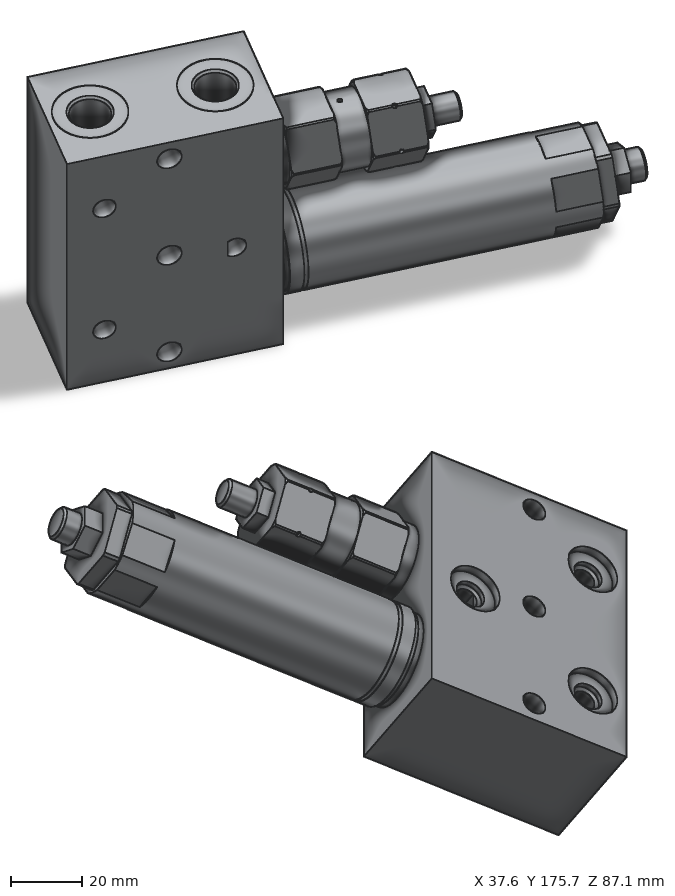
import cadquery as cq
import math

BLOCK_X = 37.6
BLOCK_Y = 63.8
BLOCK_Z = 87.1
TOTAL_Y = 175.7

MOUNT_DIAMETER = 7.2
MOUNT_Y = -33.5
MOUNT_PITCH = 37.2

SIDE_SPOTFACE_DIAMETER = 16.0
SIDE_SPOTFACE_DEPTH = 2.6
SIDE_ENTRY_DIAMETER = 9.0
SIDE_ENTRY_DEPTH = 1.5
SIDE_TAPER_LENGTH = 0.5
SIDE_BORE_DIAMETER = 6.7
INNER_PORT_Y = -14.2
INNER_SIDE_PORT_Z = -2.3
OUTER_SIDE_PORT_Y = -52.7
OUTER_SIDE_PORT_Z = 23.4
INNER_BORE_FLAT_OFFSET = 2.1

TOP_SPOTFACE_DIAMETER = 21.6
TOP_SPOTFACE_DEPTH = 0.2
TOP_PORT_DIAMETER = 12.0
TOP_PORT_CHAMFER = 0.7
TOP_PORT_DEPTH = 12.3
OUTER_TOP_PORT_Y = -51.1
DRILL_TIP_ANGLE = 118.0
PILOT_DIAMETER = 4.7
PILOT_DEPTH = 7.0
BLEED_DIAMETER = 2.1
BLEED_DEPTH = 1.8
BLEED_OFFSET = 1.0

SMALL_VALVE_Z = 15.8
SMALL_BODY_DIAMETER = 23.2
SMALL_HEX_FLATS = 23.9
SMALL_HEX_CORNERS = 27.2
SMALL_HEX_CHAMFER = 0.5
SMALL_LOWER_HEX_START = 4.2
SMALL_LOWER_HEX_END = 19.1
SMALL_UPPER_HEX_START = 28.3
SMALL_UPPER_HEX_END = 44.6
SMALL_NUT_FLATS = 13.2
SMALL_NUT_END = 48.5
SMALL_STEM_DIAMETER = 8.6
SMALL_STEM_END = 57.5
CORNER_HOLE_DIAMETER = 1.4
CORNER_HOLE_Y = 36.5
BODY_HOLE_DIAMETER = 1.4
BODY_HOLE_Y = 22.5
PIN_HOLE_DEPTH = 1.8

LARGE_VALVE_Z = -21.6
LARGE_COLLAR_DIAMETER = 28.5
LARGE_COLLAR_END = 1.8
LARGE_NECK_DIAMETER = 28.8
LARGE_NECK_END = 3.2
LARGE_BARREL_DIAMETER = 30.4
LARGE_BARREL_END = 95.5
LARGE_FLATS_START = 81.7
LARGE_FLAT_DISTANCE = 14.4
LARGE_FLAT_ANGLES = (-90, -30, 30, 90, 145.4, 214.6)
LARGE_GROOVE_START = 7.4
LARGE_GROOVE_WIDTH = 1.2
LARGE_GROOVE_DEPTH = 0.2
LARGE_CAP_FLATS = 25.5
LARGE_CAP_CORNERS = 28.8
LARGE_CAP_END = 100.5
LARGE_NUT_FLATS = 13.0
LARGE_NUT_END = 106.3
LARGE_STEM_DIAMETER = 9.8
LARGE_STEM_END = TOTAL_Y - BLOCK_Y

STEM_CHAMFER = 0.7

ALONG_X = cq.Vector(1, 0, 0)
ALONG_Y = cq.Vector(0, 1, 0)
DOWN = cq.Vector(0, 0, -1)


def rod(diameter, start, direction, length):
    """Cylinder that runs from a start point along a direction."""
    return cq.Workplane(cq.Solid.makeCylinder(diameter / 2, length, cq.Vector(*start), direction))


def valve_disc(diameter, start, end, axis_z):
    """Round section of a valve between two distances from the block face."""
    return rod(diameter, (0, start, axis_z), ALONG_Y, end - start)


def valve_hex(flats, start, end, axis_z, corners_up=False):
    """Hexagonal section of a valve; its corners point along X, or along Z if corners_up."""
    prism = (
        cq.Workplane("XZ", origin=(0, start, axis_z))
        .polygon(6, flats / math.cos(math.pi / 6))
        .extrude(start - end)
    )
    if corners_up:
        prism = prism.rotate((0, start, axis_z), (0, end, axis_z), 90)
    return prism


def valve_stem(diameter, start, end, axis_z):
    """Adjusting stem with a chamfered tip."""
    return valve_disc(diameter, start, end, axis_z).faces(">Y").chamfer(STEM_CHAMFER)


def side_port(y, z, bore):
    """Cutter for one stepped side port around the given through bore."""
    face = (-BLOCK_X / 2, y, z)
    spotface = rod(SIDE_SPOTFACE_DIAMETER, face, ALONG_X, SIDE_SPOTFACE_DEPTH)
    entry_end = SIDE_SPOTFACE_DEPTH + SIDE_ENTRY_DEPTH
    entry = rod(SIDE_ENTRY_DIAMETER, face, ALONG_X, entry_end)
    taper_start = cq.Vector(entry_end - BLOCK_X / 2, y, z)
    taper = cq.Solid.makeCone(
        SIDE_ENTRY_DIAMETER / 2, SIDE_BORE_DIAMETER / 2, SIDE_TAPER_LENGTH, taper_start, ALONG_X
    )
    return bore.union(cq.Workplane(taper)).union(entry).union(spotface)


def through_hole(diameter, y, z):
    """Cutter for a hole through the block along X."""
    return rod(diameter, (-BLOCK_X / 2, y, z), ALONG_X, BLOCK_X)


def flatted_bore(y, z):
    """Side port bore with a flat along its -Y side."""
    bore = through_hole(SIDE_BORE_DIAMETER, y, z)
    keep = cq.Workplane("XY", origin=(0, y - INNER_BORE_FLAT_OFFSET, z)).box(
        BLOCK_X, BLOCK_Y, SIDE_BORE_DIAMETER, centered=(True, False, True)
    )
    return bore.intersect(keep)


def top_port(y):
    """Cutter for a flat-bottomed top port with its spotface and entry chamfer."""
    face = (0, y, BLOCK_Z / 2)
    spotface = rod(TOP_SPOTFACE_DIAMETER, face, DOWN, TOP_SPOTFACE_DEPTH)
    bore = rod(TOP_PORT_DIAMETER, face, DOWN, TOP_PORT_DEPTH)
    entry_radius = TOP_PORT_DIAMETER / 2 + TOP_PORT_CHAMFER
    entry = cq.Solid.makeCone(
        entry_radius,
        TOP_PORT_DIAMETER / 2,
        TOP_PORT_CHAMFER,
        cq.Vector(0, y, BLOCK_Z / 2 - TOP_SPOTFACE_DEPTH),
        DOWN,
    )
    return bore.union(spotface).union(cq.Workplane(entry))


def drill_tip(y):
    """Cutter for the conical bottom of a top port."""
    radius = TOP_PORT_DIAMETER / 2
    height = radius / math.tan(math.radians(DRILL_TIP_ANGLE / 2))
    bottom = cq.Vector(0, y, BLOCK_Z / 2 - TOP_PORT_DEPTH)
    return cq.Workplane(cq.Solid.makeCone(radius, 0, height, bottom, DOWN))


def pilot_holes(y):
    """Cutter for the pilot hole in a port bottom and the small bleed hole below it."""
    port_bottom = BLOCK_Z / 2 - TOP_PORT_DEPTH
    pilot = rod(PILOT_DIAMETER, (0, y, port_bottom), DOWN, PILOT_DEPTH)
    bleed = rod(BLEED_DIAMETER, (0, y + BLEED_OFFSET, port_bottom), DOWN, PILOT_DEPTH + BLEED_DEPTH)
    return pilot.union(bleed)


def make_block():
    block = cq.Workplane("XY", origin=(0, -BLOCK_Y / 2, 0)).box(BLOCK_X, BLOCK_Y, BLOCK_Z)
    for z in (-MOUNT_PITCH, 0, MOUNT_PITCH):
        block = block.cut(through_hole(MOUNT_DIAMETER, MOUNT_Y, z))
    for z in (-OUTER_SIDE_PORT_Z, OUTER_SIDE_PORT_Z):
        bore = through_hole(SIDE_BORE_DIAMETER, OUTER_SIDE_PORT_Y, z)
        block = block.cut(side_port(OUTER_SIDE_PORT_Y, z, bore))
    inner_bore = flatted_bore(INNER_PORT_Y, INNER_SIDE_PORT_Z)
    block = block.cut(side_port(INNER_PORT_Y, INNER_SIDE_PORT_Z, inner_bore))
    block = block.cut(top_port(OUTER_TOP_PORT_Y)).cut(drill_tip(OUTER_TOP_PORT_Y))
    block = block.cut(top_port(INNER_PORT_Y)).cut(pilot_holes(INNER_PORT_Y))
    return block


def chamfered_hex(start, end):
    """Large hexagon of the small valve, with its corners turned down and chamfered at both ends."""
    blank = valve_disc(SMALL_HEX_CORNERS, start, end, SMALL_VALVE_Z)
    blank = blank.faces("<Y or >Y").chamfer(SMALL_HEX_CHAMFER)
    return valve_hex(SMALL_HEX_FLATS, start, end, SMALL_VALVE_Z).intersect(blank)


def corner_holes():
    """Cutters for the small radial holes in the six corners of the upper hexagon."""
    radius = SMALL_HEX_CORNERS / 2
    holes = []
    for corner in range(6):
        angle = math.radians(60 * corner)
        outward = cq.Vector(math.cos(angle), 0, math.sin(angle))
        start = (radius * outward.x, CORNER_HOLE_Y, SMALL_VALVE_Z + radius * outward.z)
        holes.append(rod(CORNER_HOLE_DIAMETER, start, outward * -1, PIN_HOLE_DEPTH))
    return holes


def make_small_valve():
    valve = valve_disc(SMALL_BODY_DIAMETER, 0, SMALL_UPPER_HEX_START, SMALL_VALVE_Z)
    valve = valve.union(chamfered_hex(SMALL_LOWER_HEX_START, SMALL_LOWER_HEX_END))
    valve = valve.union(chamfered_hex(SMALL_UPPER_HEX_START, SMALL_UPPER_HEX_END))
    valve = valve.union(valve_hex(SMALL_NUT_FLATS, SMALL_UPPER_HEX_END, SMALL_NUT_END, SMALL_VALVE_Z))
    valve = valve.union(valve_stem(SMALL_STEM_DIAMETER, SMALL_NUT_END, SMALL_STEM_END, SMALL_VALVE_Z))
    for hole in corner_holes():
        valve = valve.cut(hole)
    body_top = (0, BODY_HOLE_Y, SMALL_VALVE_Z + SMALL_BODY_DIAMETER / 2)
    return valve.cut(rod(BODY_HOLE_DIAMETER, body_top, DOWN, PIN_HOLE_DEPTH))


def wrench_flat(angle):
    """Cutter for one wrench flat at the far end of the large barrel, facing the given angle."""
    return (
        cq.Workplane("XY", origin=(LARGE_FLAT_DISTANCE, LARGE_FLATS_START, LARGE_VALVE_Z))
        .box(
            LARGE_BARREL_DIAMETER,
            LARGE_BARREL_END - LARGE_FLATS_START,
            LARGE_BARREL_DIAMETER,
            centered=(False, False, True),
        )
        .rotate((0, 0, LARGE_VALVE_Z), (0, -1, LARGE_VALVE_Z), angle)
    )


def make_large_barrel():
    """Barrel with a shallow ring groove near the block and six wrench flats at the far end."""
    barrel = valve_disc(LARGE_BARREL_DIAMETER, LARGE_NECK_END, LARGE_BARREL_END, LARGE_VALVE_Z)
    groove_end = LARGE_GROOVE_START + LARGE_GROOVE_WIDTH
    groove_floor = LARGE_BARREL_DIAMETER - 2 * LARGE_GROOVE_DEPTH
    groove = valve_disc(LARGE_BARREL_DIAMETER, LARGE_GROOVE_START, groove_end, LARGE_VALVE_Z)
    groove = groove.cut(valve_disc(groove_floor, LARGE_GROOVE_START, groove_end, LARGE_VALVE_Z))
    barrel = barrel.cut(groove)
    for angle in LARGE_FLAT_ANGLES:
        barrel = barrel.cut(wrench_flat(angle))
    return barrel


def make_large_valve():
    collar = valve_disc(LARGE_COLLAR_DIAMETER, 0, LARGE_COLLAR_END, LARGE_VALVE_Z)
    neck = valve_disc(LARGE_NECK_DIAMETER, LARGE_COLLAR_END, LARGE_NECK_END, LARGE_VALVE_Z)
    cap = valve_hex(LARGE_CAP_FLATS, LARGE_BARREL_END, LARGE_CAP_END, LARGE_VALVE_Z)
    cap = cap.intersect(valve_disc(LARGE_CAP_CORNERS, LARGE_BARREL_END, LARGE_CAP_END, LARGE_VALVE_Z))
    nut = valve_hex(LARGE_NUT_FLATS, LARGE_CAP_END, LARGE_NUT_END, LARGE_VALVE_Z, corners_up=True)
    stem = valve_stem(LARGE_STEM_DIAMETER, LARGE_NUT_END, LARGE_STEM_END, LARGE_VALVE_Z)
    return collar.union(neck).union(make_large_barrel()).union(cap).union(nut).union(stem)


block_with_small_valve = make_block().union(make_small_valve())
large_valve = make_large_valve()

result = cq.Compound.makeCompound([block_with_small_valve.solids().val(), large_valve.solids().val()])